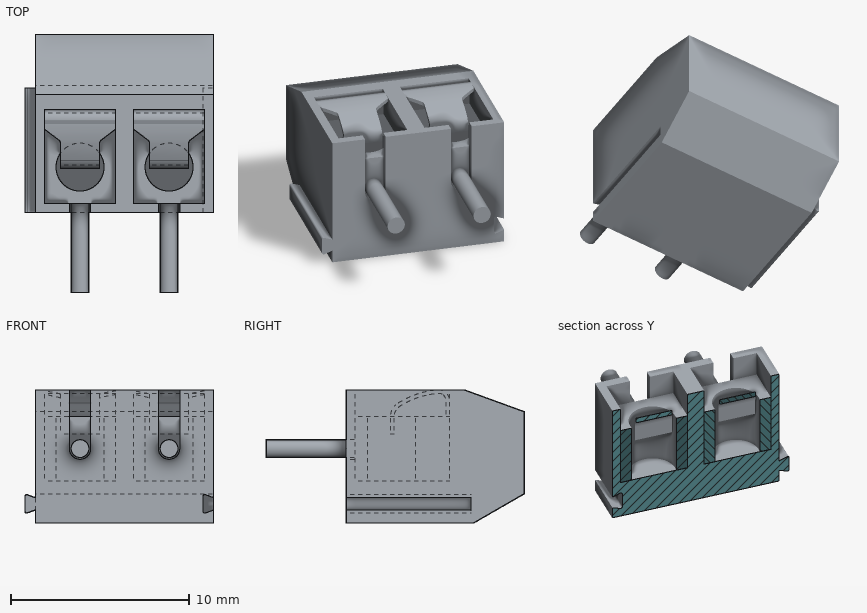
import cadquery as cq
import math


poles = 2
pitch = 5.0
housing_width = poles * pitch
housing_depth = 10
housing_height = 7.5
top_slope_run = 3.38
top_slope_angle = 20
base_slope_run = 2.85
base_slope_angle = 30

wall = 0.51
pocket_width = 4.0
pocket_back = 5.8
pocket_length = pocket_back - wall

dovetail_length = 7.0
dovetail_depth = 0.6
dovetail_height = 1.09
dovetail_root_half = 0.35
dovetail_angle = 20
dovetail_tip_half = dovetail_root_half + dovetail_depth * math.tan(math.radians(dovetail_angle))
dovetail_tip_radius = 0.1

pin_diameter = 1.0
pin_height = 4.19
pin_overhang = 4.5
slot_width = 1.2

clamp_top = 6.0
clamp_height = 2 * (clamp_top - pin_height)
clamp_bottom = clamp_top - clamp_height
pocket_height = housing_height - clamp_bottom
wire_hole_radius = 1.35
wire_hole_y = 2.55

leaf_thickness = 0.2
hook_radius = 0.61
flat_length = 0.1
ramp_radius = 4.93
nose_radius = 0.95
flat_tilt = math.radians(6)
ramp_tilt = math.radians(32)
tongue_drop = 1.0
tongue_width = 2.2
shoulder_y = 4.68
neck_y = 4.0
neck_radius = 0.2

pole_centers = [(i + 0.5) * pitch for i in range(poles)]


def housing_body():
    """Block with sloped upper and lower back edges."""
    top_slope_drop = top_slope_run * math.tan(math.radians(top_slope_angle))
    base_slope_rise = base_slope_run * math.tan(math.radians(base_slope_angle))
    outline = [
        (0, 0),
        (housing_depth - base_slope_run, 0),
        (housing_depth, base_slope_rise),
        (housing_depth, housing_height - top_slope_drop),
        (housing_depth - top_slope_run, housing_height),
        (0, housing_height),
    ]
    return cq.Workplane("YZ").polyline(outline).close().extrude(housing_width)


def dovetail(root_x):
    """Bar that widens toward -X from its root, with rounded tip edges."""
    tip_x = root_x - dovetail_depth
    outline = [
        (root_x, dovetail_height - dovetail_root_half),
        (root_x, dovetail_height + dovetail_root_half),
        (tip_x, dovetail_height + dovetail_tip_half),
        (tip_x, dovetail_height - dovetail_tip_half),
    ]
    bar = cq.Workplane("XZ").polyline(outline).close().extrude(-dovetail_length)
    return bar.edges("|Y and <X").fillet(dovetail_tip_radius)


def pocket_fill(center_x, height):
    """Box that fills a pocket from its floor up to the given height."""
    box = cq.Workplane("XY").box(pocket_width, pocket_length, height, centered=(True, False, False))
    return box.translate((center_x, wall, clamp_bottom))


def pin_slot(center_x):
    """Round-bottomed slot that opens the front wall around a pin."""
    slot_radius = slot_width / 2
    return (
        cq.Workplane("XZ")
        .moveTo(center_x - slot_radius, housing_height)
        .lineTo(center_x - slot_radius, pin_height)
        .threePointArc((center_x, pin_height - slot_radius), (center_x + slot_radius, pin_height))
        .lineTo(center_x + slot_radius, housing_height)
        .close()
        .extrude(-wall)
    )


def make_housing():
    """Housing with its dovetail, groove, pockets and pin slots."""
    body = housing_body().union(dovetail(0)).cut(dovetail(housing_width))
    for center_x in pole_centers:
        body = body.cut(pocket_fill(center_x, pocket_height)).cut(pin_slot(center_x))
    return body


def make_clamp(center_x):
    """Block that fills the lower part of a pocket, with a wire hole through it."""
    block = pocket_fill(center_x, clamp_height)
    wire_hole = (
        cq.Workplane("XY", origin=(center_x, wire_hole_y, clamp_bottom))
        .circle(wire_hole_radius)
        .extrude(clamp_height)
    )
    return block.cut(wire_hole)


def make_pin(center_x):
    """Round pin that starts on the front face of a clamp block."""
    return (
        cq.Workplane("XZ", origin=(center_x, wall, pin_height))
        .circle(pin_diameter / 2)
        .extrude(wall + pin_overhang)
    )


def on_bend(center, radius, tilt):
    """Point of a bend where its surface leans toward the front by the given angle."""
    return (center[0] - radius * math.sin(tilt), center[1] + radius * math.cos(tilt))


def bend(path, center, radius, tilt_from, tilt_to):
    """Continue a profile along a bend from one lean to another."""
    middle = on_bend(center, radius, (tilt_from + tilt_to) / 2)
    return path.threePointArc(middle, on_bend(center, radius, tilt_to))


def bent_strip():
    """Spring strip of full width: back leg, hook, short flat, ramp, nose and tongue."""
    upright = math.radians(90)
    hook = (pocket_back - hook_radius, housing_height - hook_radius)
    flat_back = on_bend(hook, hook_radius, flat_tilt)
    flat_front = (
        flat_back[0] - flat_length * math.cos(flat_tilt),
        flat_back[1] - flat_length * math.sin(flat_tilt),
    )
    ramp = on_bend(flat_front, -ramp_radius, flat_tilt)
    ramp_front = on_bend(ramp, ramp_radius, ramp_tilt)
    nose = on_bend(ramp_front, -nose_radius, ramp_tilt)
    tongue_y = nose[0] - nose_radius
    tongue_end = clamp_top - tongue_drop

    path = cq.Workplane("YZ").moveTo(pocket_back, clamp_top)
    path = path.lineTo(*on_bend(hook, hook_radius, -upright))
    path = bend(path, hook, hook_radius, -upright, flat_tilt)
    path = path.lineTo(*flat_front)
    path = bend(path, ramp, ramp_radius, flat_tilt, ramp_tilt)
    path = bend(path, nose, nose_radius, ramp_tilt, upright)
    path = path.lineTo(tongue_y, tongue_end).lineTo(tongue_y + leaf_thickness, tongue_end)

    inner_nose = nose_radius - leaf_thickness
    inner_ramp = ramp_radius - leaf_thickness
    inner_hook = hook_radius - leaf_thickness
    path = path.lineTo(*on_bend(nose, inner_nose, upright))
    path = bend(path, nose, inner_nose, upright, ramp_tilt)
    path = bend(path, ramp, inner_ramp, ramp_tilt, flat_tilt)
    path = path.lineTo(*on_bend(hook, inner_hook, flat_tilt))
    path = bend(path, hook, inner_hook, flat_tilt, -upright)
    path = path.lineTo(pocket_back - leaf_thickness, clamp_top)
    return path.close().extrude(pocket_width / 2, both=True)


def leaf_blank():
    """Plan shape of a spring leaf: full width at the back, narrowing to the tongue."""
    half_width = pocket_width / 2
    half_tongue = tongue_width / 2
    outline = [
        (-half_width, pocket_back),
        (-half_width, shoulder_y),
        (-half_tongue, neck_y),
        (-half_tongue, wall),
        (half_tongue, wall),
        (half_tongue, neck_y),
        (half_width, shoulder_y),
        (half_width, pocket_back),
    ]
    blank = cq.Workplane("XY").polyline(outline).close().extrude(housing_height)
    for side in (-1, 1):
        neck = cq.selectors.NearestToPointSelector((side * half_tongue, neck_y, housing_height / 2))
        blank = blank.edges("|Z").edges(neck).fillet(neck_radius)
    return blank


def make_leaf(center_x):
    """Bent strip trimmed to its plan shape, standing on the clamp block."""
    return bent_strip().intersect(leaf_blank()).translate((center_x, 0, 0))


housing = make_housing()
clamps = [make_clamp(center_x) for center_x in pole_centers]
pins = [make_pin(center_x) for center_x in pole_centers]
leaves = [make_leaf(center_x) for center_x in pole_centers]

result = cq.Compound.makeCompound(
    [body.val() for body in [housing, *clamps, *pins, *leaves]]
)